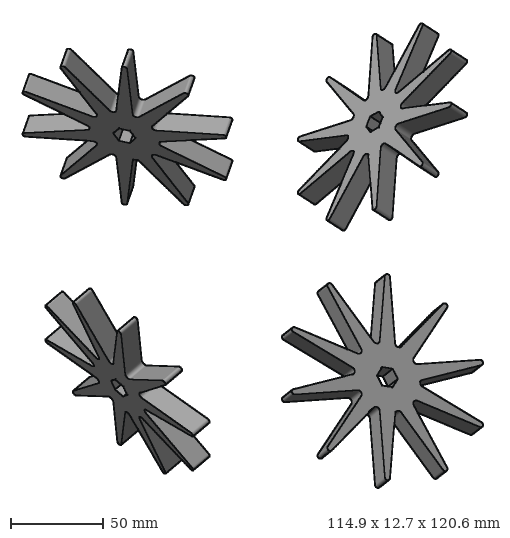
import cadquery as cq
import math

TOOTH_COUNT = 10
OUTER_RADIUS = 60.3
THICKNESS = 12.7
TIP_RADIUS = 1.6
ROOT_RADIUS = 2.0
FLANK_TAPER = math.radians(4.6)
HEX_ACROSS_CORNERS = 12.4

HALF_PITCH = math.pi / TOOTH_COUNT
TIP_CENTER = OUTER_RADIUS - TIP_RADIUS
FLANK_OFFSET = TIP_RADIUS + TIP_CENTER * math.sin(FLANK_TAPER)
ROOT_CENTER = (FLANK_OFFSET + ROOT_RADIUS) / math.sin(HALF_PITCH + FLANK_TAPER)


def polar(radius, angle):
    """Point at an angle measured clockwise from +Z."""
    return radius * math.sin(angle), radius * math.cos(angle)


def shifted(point, distance, angle):
    """Move a point a given distance in a polar direction."""
    dx, dz = polar(distance, angle)
    return point[0] + dx, point[1] + dz


def star_profile():
    """Tapered teeth with full-round tips, joined by full-round roots."""
    normal_turn = math.pi / 2 - FLANK_TAPER
    first_tip = polar(TIP_CENTER, 0)
    profile = cq.Workplane("XZ").moveTo(*shifted(first_tip, TIP_RADIUS, -normal_turn))
    for index in range(TOOTH_COUNT):
        axis = 2 * index * HALF_PITCH
        gap_axis = axis + HALF_PITCH
        next_axis = axis + 2 * HALF_PITCH
        flank_normal = axis + normal_turn
        next_flank_normal = next_axis - normal_turn
        tip = polar(TIP_CENTER, axis)
        root = polar(ROOT_CENTER, gap_axis)
        next_tip = polar(TIP_CENTER, next_axis)
        profile = profile.threePointArc(
            polar(OUTER_RADIUS, axis), shifted(tip, TIP_RADIUS, flank_normal)
        )
        profile = profile.lineTo(*shifted(root, -ROOT_RADIUS, flank_normal))
        profile = profile.threePointArc(
            polar(ROOT_CENTER - ROOT_RADIUS, gap_axis),
            shifted(root, -ROOT_RADIUS, next_flank_normal),
        )
        if index < TOOTH_COUNT - 1:
            profile = profile.lineTo(*shifted(next_tip, TIP_RADIUS, next_flank_normal))
    return profile.close()


star = star_profile().extrude(THICKNESS / 2, both=True)

bore = cq.Workplane("XZ").polygon(6, HEX_ACROSS_CORNERS).extrude(THICKNESS, both=True)

result = star.cut(bore)